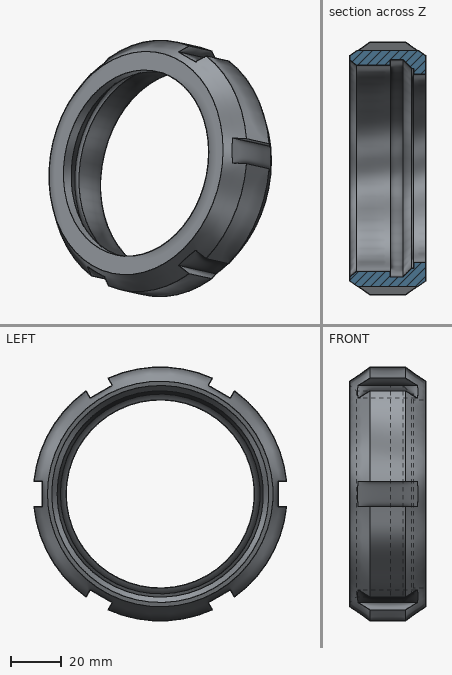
import cadquery as cq
import math

width = 30.0
outer_radius = 50.0
rim_width = 14.0
outer_bevel_angle = 35.0

entry_radius = 85.42 / 2
thread_radius = 81.19 / 2
thread_start = 2.6
thread_end = 16.0
relief_radius = entry_radius
seat_radius = 78.65 / 2
relief_end = 21.0
seat_angle = 45.0
shoulder_x = 25.2
bore_radius = 74.0 / 2

slot_count = 6
slot_width = 10.0
slot_floor_radius = 46.5


def make_ring():
    """Revolve the cross section, drawn as (x, radius), about the X axis."""
    bevel_length = (width - rim_width) / 2
    end_radius = outer_radius - bevel_length * math.tan(math.radians(outer_bevel_angle))
    seat_end = relief_end + (relief_radius - seat_radius) / math.tan(math.radians(seat_angle))
    outside = [
        (width, end_radius),
        (width - bevel_length, outer_radius),
        (bevel_length, outer_radius),
        (0, end_radius),
    ]
    inside = [
        (0, entry_radius),
        (thread_start, thread_radius),
        (thread_end, thread_radius),
        (thread_end, relief_radius),
        (relief_end, relief_radius),
        (seat_end, seat_radius),
        (shoulder_x, seat_radius),
        (shoulder_x, bore_radius),
        (width, bore_radius),
    ]
    section = cq.Workplane("XY").polyline(outside + inside).close()
    return section.revolve(360, (0, 0, 0), (1, 0, 0))


def make_slot_cutter(angle):
    """Block that cuts one flat-floored slot through the full width, turned about X."""
    depth = outer_radius - slot_floor_radius
    block = cq.Workplane("XY").box(width, depth, slot_width, centered=(False, False, True))
    return block.translate((0, slot_floor_radius, 0)).rotate((0, 0, 0), (1, 0, 0), angle)


result = make_ring()
for index in range(slot_count):
    result = result.cut(make_slot_cutter(index * 360 / slot_count))